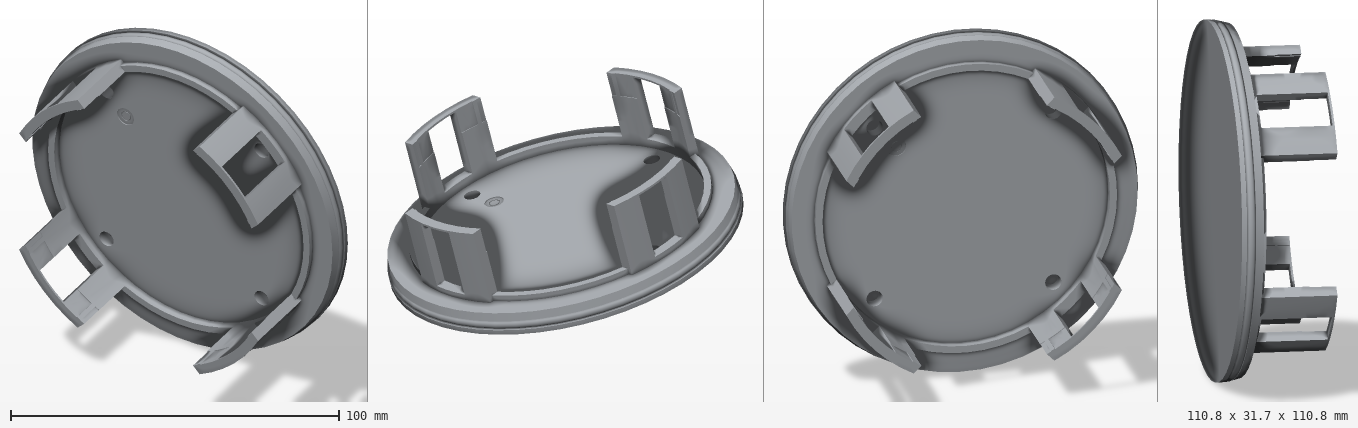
import cadquery as cq

outer_radius = 55.4
flange_depth = 1.5

ring_section_radius = 1.4
groove_width = 2 * ring_section_radius
ring_edge_inset = 0.1
ring_path_radius = outer_radius - ring_section_radius - ring_edge_inset
groove_floor_radius = ring_path_radius - ring_section_radius

carrier_back = flange_depth + groove_width
carrier_front = 7.0
carrier_back_radius = 55.0
carrier_front_radius = 54.3
floor_depth = 6.0
rib_front = 9.0
rib_outer_radius = 47.3
rib_inner_radius = 45.1

first_clip_angle = 45
clip_count = 4
clip_pitch = 360 / clip_count
clip_outer_radius = 48.6
clip_width = 29.9
clip_tip = 31.7
window_width = 12.2
window_tip_bar = 0.7

relief_length = 8.2
relief_depth = 0.2
strip_offset = 12.7
strip_width = 1.3

hole_radius = 2.5
hole_offset = 28.0
hole_bottom = flange_depth

insert_radius = 3.0
insert_offset = 21.2
insert_pocket_depth = 1.0
insert_recess = 0.3
insert_groove_radius = 1.8
insert_groove_width = 0.3
insert_groove_depth = 0.2


def section_at(depth):
    """Workplane across the axis at the given depth, facing -Y."""
    return cq.Workplane("XZ", origin=(0, -depth, 0))


def cylinder(radius, start, end):
    return section_at(start).circle(radius).extrude(end - start)


def tube(large_radius, small_radius, start, end):
    return section_at(start).circle(large_radius).circle(small_radius).extrude(end - start)


def diagonal_block(width, start, end):
    """Block from the axis outward along +X, wide in Z."""
    return section_at(start).rect(outer_radius, width).extrude(end - start).translate((outer_radius / 2, 0, 0))


def corner_holes():
    return (
        section_at(hole_bottom)
        .rect(2 * hole_offset, 2 * hole_offset, forConstruction=True)
        .vertices()
        .circle(hole_radius)
        .extrude(floor_depth - hole_bottom)
    )


def make_disc():
    flange = cylinder(outer_radius, 0, flange_depth)
    core = cylinder(groove_floor_radius, flange_depth, carrier_back)
    return flange.union(core).cut(corner_holes())


def make_sealing_ring():
    ring_center_depth = flange_depth + ring_section_radius
    return (
        cq.Workplane("XY")
        .center(ring_path_radius, -ring_center_depth)
        .circle(ring_section_radius)
        .revolve(360, (-ring_path_radius, 0), (-ring_path_radius, 1))
    )


def make_carrier_base():
    """Turned tray with a tapered rim, a floor and a low rib."""
    profile = [
        (0, -carrier_back),
        (carrier_back_radius, -carrier_back),
        (carrier_front_radius, -carrier_front),
        (rib_outer_radius, -carrier_front),
        (rib_outer_radius, -rib_front),
        (rib_inner_radius, -rib_front),
        (rib_inner_radius, -floor_depth),
        (0, -floor_depth),
    ]
    return cq.Workplane("XY").polyline(profile).close().revolve(360, (0, 0), (0, 1))


def make_clip_relief():
    """Thin inner layer removed at the clip tip, except for the two strips."""
    start = clip_tip - relief_length
    relief = tube(rib_inner_radius + relief_depth, rib_inner_radius - relief_depth, start, clip_tip)
    strip = diagonal_block(strip_width, start, clip_tip)
    for side in (-1, 1):
        relief = relief.cut(strip.translate((0, 0, side * strip_offset)))
    return relief


def make_clip():
    """Clip centred on +X: a parallel-sided piece of a tube with a window."""
    clip = tube(clip_outer_radius, rib_inner_radius, floor_depth, clip_tip)
    clip = clip.intersect(diagonal_block(clip_width, floor_depth, clip_tip))
    window = diagonal_block(window_width, rib_front, clip_tip - window_tip_bar)
    return clip.cut(window).cut(make_clip_relief())


def place_insert(shape):
    return shape.translate((-insert_offset, 0, insert_offset))


def make_carrier():
    carrier = make_carrier_base()
    clip = make_clip()
    for index in range(clip_count):
        angle = first_clip_angle + index * clip_pitch
        carrier = carrier.union(clip.rotate((0, 0, 0), (0, 1, 0), angle))
    carrier = carrier.clean()
    pocket = cylinder(insert_radius, floor_depth - insert_pocket_depth, floor_depth)
    return carrier.cut(corner_holes()).cut(place_insert(pocket))


def make_marking_insert():
    face_depth = floor_depth - insert_recess
    insert = cylinder(insert_radius, floor_depth - insert_pocket_depth, face_depth)
    groove = tube(
        insert_groove_radius,
        insert_groove_radius - insert_groove_width,
        face_depth - insert_groove_depth,
        face_depth,
    )
    return place_insert(insert.cut(groove))


disc = make_disc()
sealing_ring = make_sealing_ring()
carrier = make_carrier()
marking_insert = make_marking_insert()

result = cq.Compound.makeCompound(
    [disc.val(), sealing_ring.val(), carrier.val(), marking_insert.val()]
)